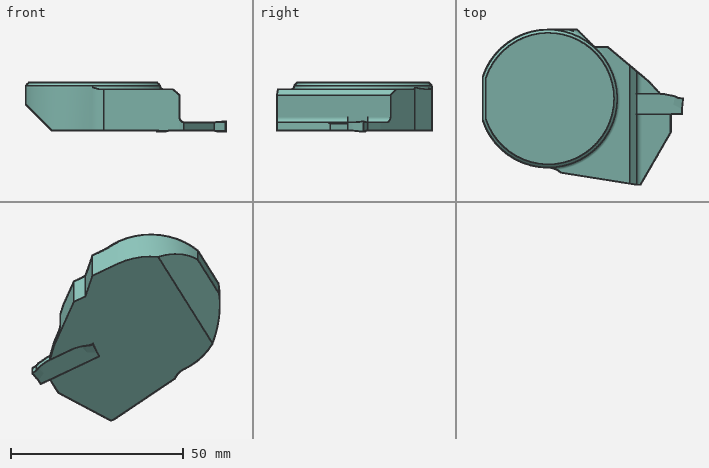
import cadquery as cq
import math


disc_radius = 20.05
disc_flat_x = -19.0
lid_radius = 20.0
lid_top = 14.0
lid_chamfer = 0.95
flare_radius = 0.9
underside_bevel = 7.55
neck_blend_radius = 5.35

plate_top = 12.0
plate_end_x = 25.55
plate_bevel_length = 1.9
plate_bevel_height = 1.7
notch_y = 15.0
notch_end_x = 17.2
neck_corner = (3.65, -21.5)
plate_front_y = -25.0

blade_thickness = 2.4
blade_fillet = 1.55
blade_shoulder = (29.05, 5.05)
upper_jaw_end_x = 32.55
lower_jaw_end_x = 35.7
lower_jaw_corner_y = -9.45
lower_jaw_slope = 60.0
lower_jaw_chamfer = 0.35

insert_center_x = 29.05
insert_half_length = 10.05
insert_end_relief = 0.35
insert_top_y = 1.35
insert_bottom_y = -4.5
insert_mid_z = blade_thickness / 2
head_overhang = 0.35
land_end_x = 33.5
head_start = (35.6, 0.95)
head_crest = (36.65, 0.7)
rake_foot = (37.65, 0.25)
cutting_edge_y = 0.05
relief_foot_y = -3.1
ramp_corner = (36.25, -1.75)
front_ramp_angle = 6.6
back_ramp_angle = 15.5

cut_size = 116.2

tip_x = insert_center_x + insert_half_length
insert_end_x = tip_x - insert_end_relief


def housing_outline():
    """Plan outline of disc, plate and blade, extruded to the full height."""
    flat_half = math.sqrt(disc_radius**2 - disc_flat_x**2)
    tangent_sum = disc_radius * math.sqrt(2)
    jaw_run = (lower_jaw_corner_y - plate_front_y) / math.tan(math.radians(lower_jaw_slope))
    half_sector = (math.pi - math.atan2(flat_half, -disc_flat_x) + math.pi / 2) / 2
    upper_mid = (disc_radius * math.cos(half_sector), disc_radius * math.sin(half_sector))
    blend_center_y = -disc_radius - neck_blend_radius
    blend_angle = math.asin(neck_corner[0] / neck_blend_radius) / 2
    blend_mid = (
        neck_blend_radius * math.sin(blend_angle),
        blend_center_y + neck_blend_radius * math.cos(blend_angle),
    )
    return (
        cq.Workplane("XY")
        .moveTo(disc_flat_x, flat_half)
        .threePointArc(upper_mid, (0, disc_radius))
        .lineTo(tangent_sum - disc_radius, disc_radius)
        .lineTo(tangent_sum - notch_y, notch_y)
        .lineTo(notch_end_x, notch_y)
        .lineTo(*blade_shoulder)
        .lineTo(upper_jaw_end_x, insert_top_y)
        .lineTo(upper_jaw_end_x, insert_bottom_y)
        .lineTo(lower_jaw_end_x, insert_bottom_y)
        .lineTo(lower_jaw_end_x, lower_jaw_corner_y)
        .lineTo(lower_jaw_end_x - jaw_run, plate_front_y)
        .lineTo(plate_end_x, plate_front_y)
        .lineTo(*neck_corner)
        .threePointArc(blend_mid, (0, -disc_radius))
        .threePointArc((upper_mid[0], -upper_mid[1]), (disc_flat_x, -flat_half))
        .close()
        .extrude(lid_top)
    )


def height_envelope():
    """Revolved height limit: plate level, flare up to the lid, chamfered lid."""
    flare_x = lid_radius + flare_radius
    flare_z = plate_top + flare_radius
    flare_mid = flare_radius * math.sqrt(0.5)
    return (
        cq.Workplane("XZ")
        .moveTo(0, 0)
        .lineTo(cut_size, 0)
        .lineTo(cut_size, plate_top)
        .lineTo(flare_x, plate_top)
        .threePointArc((flare_x - flare_mid, flare_z - flare_mid), (lid_radius, flare_z))
        .lineTo(lid_radius, lid_top - lid_chamfer)
        .lineTo(lid_radius - lid_chamfer, lid_top)
        .lineTo(0, lid_top)
        .close()
        .revolve(360, (0, 0, 0), (0, 1, 0))
    )


def along_y(points):
    """Prism along Y with the given XZ section, longer than the part."""
    return cq.Workplane("XZ").polyline(points).close().extrude(cut_size / 2, both=True)


def flat_bevels():
    """Cutters for the top chamfer and the large lower bevel on the disc flat."""
    top = along_y([
        (disc_flat_x, lid_top),
        (disc_flat_x, lid_top - lid_chamfer),
        (disc_flat_x + lid_chamfer, lid_top),
    ])
    bottom = along_y([
        (disc_flat_x, 0),
        (disc_flat_x, underside_bevel),
        (disc_flat_x + underside_bevel, 0),
    ])
    return top.union(bottom)


def blade_step():
    """Cutter over the blade: bevelled plate edge, end wall and fillet at its foot."""
    fillet_x = plate_end_x + blade_fillet
    fillet_z = blade_thickness + blade_fillet
    fillet_mid = blade_fillet * math.sqrt(0.5)
    return (
        cq.Workplane("XZ")
        .moveTo(plate_end_x - plate_bevel_length, plate_top)
        .lineTo(plate_end_x, plate_top - plate_bevel_height)
        .lineTo(plate_end_x, fillet_z)
        .threePointArc((fillet_x - fillet_mid, fillet_z - fillet_mid), (fillet_x, blade_thickness))
        .lineTo(cut_size, blade_thickness)
        .lineTo(cut_size, plate_top)
        .close()
        .extrude(cut_size / 2, both=True)
    )


def insert_clearance():
    """Cutter that opens the foot fillet above the insert."""
    return cq.Workplane("XY").box(
        blade_fillet, insert_top_y - insert_bottom_y, blade_fillet, centered=False
    ).translate((plate_end_x, insert_bottom_y, blade_thickness))


def lower_jaw_bevel():
    """Cutter for the chamfer along the upper end edge of the lower jaw."""
    return along_y([
        (lower_jaw_end_x, blade_thickness - lower_jaw_chamfer),
        (lower_jaw_end_x, blade_thickness),
        (lower_jaw_end_x - lower_jaw_chamfer, blade_thickness),
    ])


def above_ramp(start, end, angle):
    """Space above a plane that holds the line start-end and rises to the left of it."""
    length = math.dist(start, end)
    run = ((end[0] - start[0]) / length, (end[1] - start[1]) / length)
    tilt = math.radians(angle)
    plane = cq.Plane(
        origin=(*start, blade_thickness),
        xDir=(*run, 0),
        normal=(run[1] * math.sin(tilt), -run[0] * math.sin(tilt), math.cos(tilt)),
    )
    return cq.Workplane(plane).rect(cut_size, cut_size).extrude(cut_size)


def insert_shank():
    """Right half of the insert at blade thickness."""
    return (
        cq.Workplane("XY")
        .polyline([
            (insert_center_x, insert_top_y),
            (land_end_x, insert_top_y),
            head_start,
            head_crest,
            rake_foot,
            (insert_end_x, cutting_edge_y),
            (insert_end_x, insert_bottom_y),
            (insert_center_x, insert_bottom_y),
        ])
        .close()
        .extrude(blade_thickness)
    )


def cutting_head():
    """Upper half of the wider cutting head, its top falling away from the cutting edge."""
    ramp_end = (insert_end_x, relief_foot_y)
    head = (
        cq.Workplane("XY", origin=(0, 0, insert_mid_z))
        .polyline([
            head_start,
            head_crest,
            rake_foot,
            (tip_x, cutting_edge_y),
            ramp_end,
            ramp_corner,
        ])
        .close()
        .extrude(blade_thickness + head_overhang - insert_mid_z)
    )
    head = head.cut(above_ramp(ramp_corner, ramp_end, front_ramp_angle))
    return head.cut(above_ramp(head_start, ramp_corner, back_ramp_angle))


def make_insert():
    upper_head = cutting_head()
    lower_head = upper_head.mirror("XY", (0, 0, insert_mid_z))
    right_half = insert_shank().union(upper_head).union(lower_head)
    left_half = right_half.mirror("YZ", (insert_center_x, 0, 0))
    return right_half.union(left_half)


def make_housing(seated_insert):
    body = housing_outline().intersect(height_envelope())
    for cutter in (flat_bevels(), blade_step(), insert_clearance(), lower_jaw_bevel()):
        body = body.cut(cutter)
    return body.cut(seated_insert)


insert = make_insert()
housing = make_housing(insert)

result = cq.Compound.makeCompound([housing.solids().val(), insert.solids().val()])